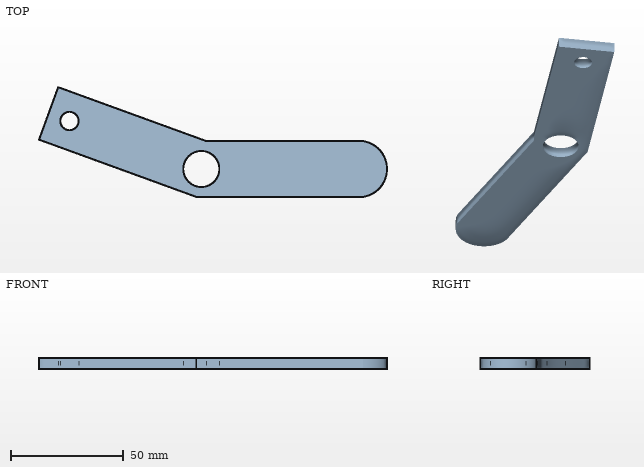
import cadquery as cq
import math

overall_length = 154.8
thickness = 5.0
arm_width = 25.0
bend_angle = 20.0
square_arm_length = 72.3
small_hole_distance = 62.4
small_hole_diameter = 8.0
pivot_hole_diameter = 16.0
round_end_depth = 10.7

half_width = arm_width / 2
angle = math.radians(bend_angle)
corner_offset = half_width * math.tan(angle / 2)
square_end_reach = square_arm_length * math.cos(angle) + half_width * math.sin(angle)
tip_x = overall_length - square_end_reach
round_start_x = tip_x - round_end_depth


def on_tilted_arm(along, across):
    """Point on the tilted arm, measured along and across its centreline."""
    x = -along * math.cos(angle) + across * math.sin(angle)
    y = along * math.sin(angle) + across * math.cos(angle)
    return (x, y)


bar = (
    cq.Workplane("XY")
    .moveTo(*on_tilted_arm(square_arm_length, -half_width))
    .lineTo(-corner_offset, -half_width)
    .lineTo(round_start_x, -half_width)
    .threePointArc((tip_x, 0), (round_start_x, half_width))
    .lineTo(corner_offset, half_width)
    .lineTo(*on_tilted_arm(square_arm_length, half_width))
    .close()
    .extrude(thickness)
)


def through_hole(diameter, center):
    return cq.Workplane("XY").center(*center).circle(diameter / 2).extrude(thickness)


pivot_hole = through_hole(pivot_hole_diameter, (0, 0))
small_hole = through_hole(small_hole_diameter, on_tilted_arm(small_hole_distance, 0))

result = bar.cut(pivot_hole).cut(small_hole)